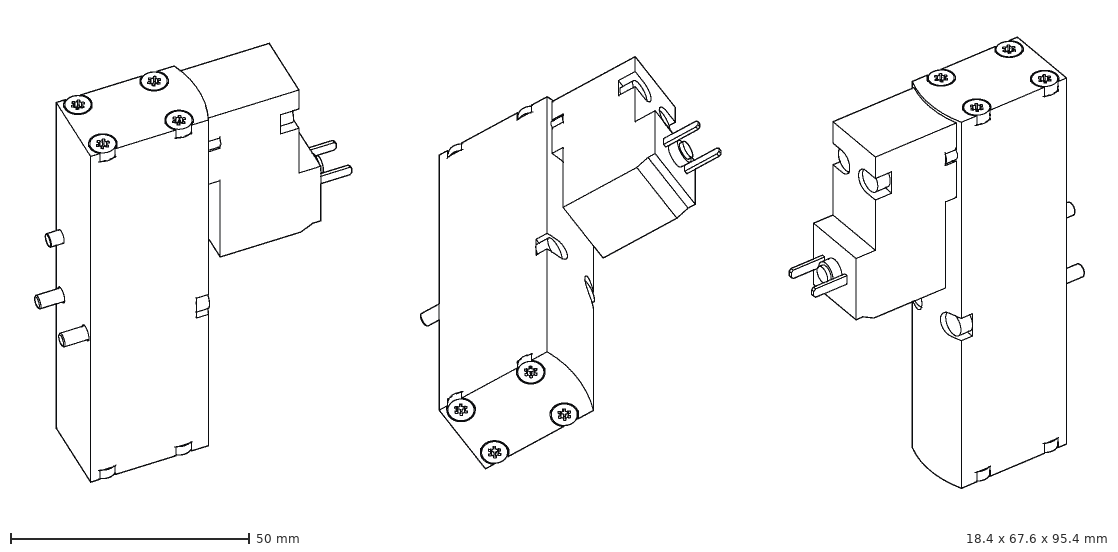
import cadquery as cq

body_width = 17.8
body_height = 95.4
body_side_depth = 27.1
body_crown_depth = 28.8

cap_screw_x = 6.45
cap_screw_ys = (3.9, 21.4)
cap_head_diameter = 5.5
cap_head_height = 2.5
cap_recess_diameter = 6.0
torx_core_diameter = 1.8
torx_lobe_diameter = 0.6
torx_lobe_radius = 1.15
torx_lobes = 6
torx_first_lobe_angle = 90
torx_depth = 1.5

mount_x = 6.25
mount_z = 41.4
mount_shank_diameter = 3.0
mount_hole_diameter = 3.5
mount_tip_y = -5.6
mount_tip_chamfer = 0.25
mount_head_diameter = 5.5
mount_head_height = 3.0
mount_seat_y = 24.3
mount_slot_width = 5.8

pin_z = 58.5
pin_diameter = 3.0
pin_length = 3.1
pin_chamfer = 0.15

solenoid_width = 15.4
solenoid_top = 94.7
solenoid_bottom = 52.9
solenoid_inner_y = 27.0
solenoid_gap_y = 30.3
solenoid_tongue_bottom = 75.3
solenoid_upper_back_y = 48.4
solenoid_lower_back_y = 53.4
solenoid_step_z = 70.4
ramp_inner_y = 48.8
ramp_outer_y = 51.6
ramp_outer_z = 54.4

solenoid_screw_z = 86.3
solenoid_slot_width = 5.6
solenoid_seat_y = 44.2
solenoid_head_x = 4.4
solenoid_head_diameter = 5.5
solenoid_head_height = 3.2
collar_x = 6.1
collar_diameter = 3.8
collar_recess_diameter = 4.4

connector_z = 62.9
prong_x = 4.06
prong_thickness = 0.8
prong_height = 2.2
prong_tip_y = 62.0
prong_tip_chamfer = 0.5
boss_diameter = 5.2
boss_length = 2.3
boss_tip_diameter = 3.8
boss_tip_length = 0.9


def rod_along_y(x, z, diameter, y_start, y_end):
    """Round rod parallel to Y between two Y positions."""
    start = cq.Vector(x, y_start, z)
    return cq.Workplane(cq.Solid.makeCylinder(diameter / 2, y_end - y_start, start, cq.Vector(0, 1, 0)))


def make_body():
    half_width = body_width / 2
    return (
        cq.Workplane("XY")
        .moveTo(-half_width, 0)
        .lineTo(half_width, 0)
        .lineTo(half_width, body_side_depth)
        .threePointArc((0, body_crown_depth), (-half_width, body_side_depth))
        .close()
        .extrude(body_height)
    )


def make_torx_socket(x, y):
    """Six-lobed socket sunk from the top of the body."""
    floor = cq.Workplane("XY", origin=(x, y, body_height - torx_depth))
    core = floor.circle(torx_core_diameter / 2).extrude(torx_depth)
    lobes = (
        floor.polarArray(torx_lobe_radius, torx_first_lobe_angle, 360, torx_lobes)
        .circle(torx_lobe_diameter / 2)
        .extrude(torx_depth)
    )
    return core.union(lobes)


def add_cap_screws(body):
    """Sink a screw head into each corner of the top, and the same into the bottom."""
    mid_height = (0, 0, body_height / 2)
    for x in (-cap_screw_x, cap_screw_x):
        for y in cap_screw_ys:
            seat = cq.Workplane("XY", origin=(x, y, body_height - cap_head_height))
            recess = seat.circle(cap_recess_diameter / 2).extrude(cap_head_height)
            head = seat.circle(cap_head_diameter / 2).extrude(cap_head_height)
            head = head.cut(make_torx_socket(x, y))
            body = body.cut(recess).union(head)
            bottom_recess = recess.mirror("XY", mid_height)
            bottom_head = head.mirror("XY", mid_height)
            body = body.cut(bottom_recess).union(bottom_head)
    return body


def make_head_slot(side, x, z, width, seat_y, open_y, side_x):
    """Slot for a screw head: round inner end at x, open to the +Y face and to the flank at side_x."""
    depth = open_y - seat_y
    flank_distance = side_x - x
    channel = (
        cq.Workplane("XY")
        .box(flank_distance, depth, width)
        .translate((side * (x + flank_distance / 2), seat_y + depth / 2, z))
    )
    return rod_along_y(side * x, z, width, seat_y, open_y).union(channel)


def add_mounting_screws(body):
    """Clearance hole, side-open head slot and screw on each side of the body."""
    head_top_y = mount_seat_y + mount_head_height
    for side in (-1, 1):
        x = side * mount_x
        hole = rod_along_y(x, mount_z, mount_hole_diameter, 0, mount_seat_y)
        slot = make_head_slot(
            side, mount_x, mount_z, mount_slot_width, mount_seat_y, body_crown_depth, body_width / 2
        )
        shank = rod_along_y(x, mount_z, mount_shank_diameter, mount_tip_y, mount_seat_y)
        shank = shank.faces("<Y").chamfer(mount_tip_chamfer)
        head = rod_along_y(x, mount_z, mount_head_diameter, mount_seat_y, head_top_y)
        body = body.cut(hole).cut(slot).union(head).union(shank)
    return body


def make_locating_pin():
    pin = rod_along_y(-mount_x, pin_z, pin_diameter, -pin_length, pin_length)
    return pin.faces("<Y").chamfer(pin_chamfer)


def make_solenoid_block():
    outline = [
        (solenoid_inner_y, solenoid_top),
        (solenoid_upper_back_y, solenoid_top),
        (solenoid_upper_back_y, solenoid_step_z),
        (solenoid_lower_back_y, solenoid_step_z),
        (solenoid_lower_back_y, ramp_outer_z),
        (ramp_outer_y, ramp_outer_z),
        (ramp_inner_y, solenoid_bottom),
        (solenoid_gap_y, solenoid_bottom),
        (solenoid_gap_y, solenoid_tongue_bottom),
        (solenoid_inner_y, solenoid_tongue_bottom),
    ]
    return cq.Workplane("YZ").polyline(outline).close().extrude(solenoid_width / 2, both=True)


def add_solenoid_screws(block):
    """Side-open head slot, screw head and recessed collar on each side of the solenoid block."""
    z = solenoid_screw_z
    head_top_y = solenoid_seat_y + solenoid_head_height
    for side in (-1, 1):
        slot = make_head_slot(
            side,
            solenoid_head_x,
            z,
            solenoid_slot_width,
            solenoid_seat_y,
            solenoid_upper_back_y,
            solenoid_width / 2,
        )
        head = rod_along_y(side * solenoid_head_x, z, solenoid_head_diameter, solenoid_seat_y, head_top_y)
        collar_span = (solenoid_inner_y, solenoid_gap_y)
        recess = rod_along_y(side * collar_x, z, collar_recess_diameter, *collar_span)
        collar = rod_along_y(side * collar_x, z, collar_diameter, *collar_span)
        block = block.cut(slot).cut(recess).union(head).union(collar)
    return block


def make_connector():
    """Round boss with a smaller tip, between two flat prongs."""
    base_y = solenoid_lower_back_y
    boss_end_y = base_y + boss_length
    connector = rod_along_y(0, connector_z, boss_diameter, base_y, boss_end_y)
    connector = connector.union(
        rod_along_y(0, connector_z, boss_tip_diameter, boss_end_y, boss_end_y + boss_tip_length)
    )
    prong_length = prong_tip_y - base_y
    for x in (-prong_x, prong_x):
        prong = (
            cq.Workplane("XY")
            .box(prong_thickness, prong_length, prong_height)
            .faces(">Y")
            .edges("|X")
            .chamfer(prong_tip_chamfer)
            .translate((x, base_y + prong_length / 2, connector_z))
        )
        connector = connector.union(prong)
    return connector


solenoid = add_solenoid_screws(make_solenoid_block())
body = make_body().union(solenoid)
body = add_cap_screws(body)
body = add_mounting_screws(body)
result = body.union(make_locating_pin()).union(make_connector())